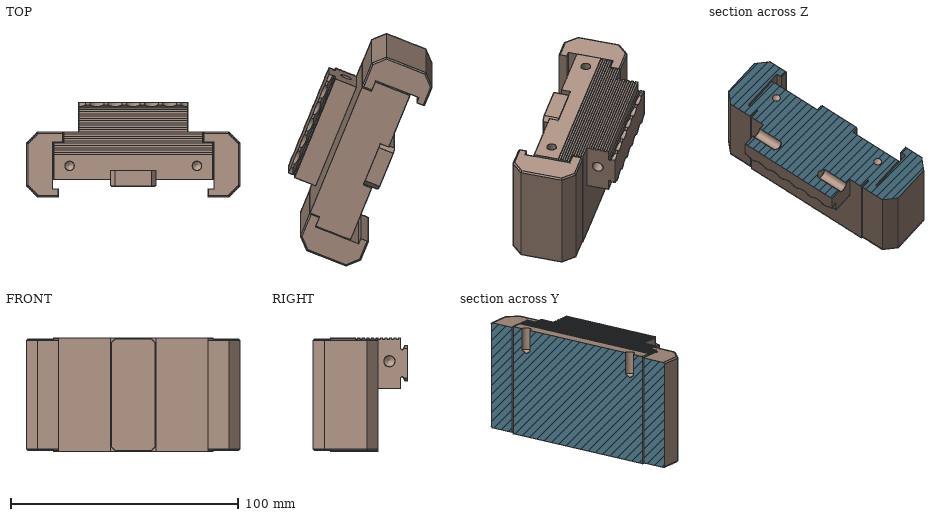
import cadquery as cq
import math

overall_width = 94
body_height = 50.0
top_z = body_height / 2

body_width = 70.0
body_depth = 21.0
shoulder_width = 61.0
shoulder_depth = 4.5

jaw_clearance = 0.5
jaw_height = body_height - 2 * jaw_clearance
jaw_depth = 28.7
jaw_corner = 5.0
jaw_bevel = 0.7
jaw_back_inner_x = shoulder_width / 2 + jaw_clearance
jaw_wall_inner_x = body_width / 2 + jaw_clearance
jaw_hook_inner_x = 33.0
jaw_hook_thickness = 3.7

pad_width = 20.0
pad_height = body_height - 2 * jaw_clearance
pad_back_y = -17.0
pad_front_y = -24.0
pad_corner = 2.0
pad_bevel = 0.5

grip_width = 48.0
grip_depth = 10.0
grip_height = 22.3
grip_mid_z = top_z - grip_height / 2

rail_depth = 3.0
rail_back_y = grip_depth + rail_depth
rail_half_height = 7.9
rail_tip_flat = 1.0
neck_width = 1.1
neck_groove_depth = 0.52
neck_half_height = 6.4
scallop_count = 7
scallop_pitch = grip_width / (scallop_count - 1)
scallop_radius = 4.0
scallop_floor = 6.5

serration_count = 10
serration_pitch = grip_depth / 5
serration_depth = 0.6

drill_point_angle = 118
top_hole_diameter = 4.1
top_hole_depth = 10.0
top_hole_x = 28.0
top_hole_y = -14.9
side_hole_diameter = 4.9
side_hole_depth = 12.0
side_hole_y = grip_depth / 2
side_hole_z = top_z - 10.2


def box(x_range, y_range, z_range):
    """Axis-aligned box given by its limits along each axis."""
    low, high = zip(x_range, y_range, z_range)
    size = [b - a for a, b in zip(low, high)]
    return cq.Workplane("XY").box(*size, centered=False).translate(low)


def centered_range(width):
    return (-width / 2, width / 2)


def drill(diameter, depth):
    """Drill-shaped cutter that enters at the origin and points along -Z."""
    radius = diameter / 2
    point_length = radius / math.tan(math.radians(drill_point_angle / 2))
    return (
        cq.Workplane("XZ")
        .polyline([(0, 0), (radius, 0), (radius, -depth), (0, -depth - point_length)])
        .close()
        .revolve(360, (0, 0, 0), (0, 1, 0))
    )


def make_body():
    full_height = centered_range(body_height)
    wide = box(centered_range(body_width), (-body_depth, -shoulder_depth), full_height)
    narrow = box(centered_range(shoulder_width), (-shoulder_depth, 0), full_height)
    channel = box(centered_range(pad_width), (-body_depth, pad_back_y), full_height)
    return wide.union(narrow).cut(channel)


def make_right_jaw():
    outer_x = overall_width / 2
    outer_outline = [
        (0, 0),
        (outer_x - jaw_corner, 0),
        (outer_x, -jaw_corner),
        (outer_x, jaw_corner - jaw_depth),
        (outer_x - jaw_corner, -jaw_depth),
        (0, -jaw_depth),
    ]
    jaw = (
        cq.Workplane("XY")
        .polyline(outer_outline)
        .close()
        .extrude(jaw_height)
        .translate((0, 0, -jaw_height / 2))
        .faces("|Z")
        .edges("not <X")
        .chamfer(jaw_bevel)
    )
    jaw_z = centered_range(jaw_height)
    hook_y = jaw_hook_thickness - jaw_depth
    jaw = jaw.cut(box((0, jaw_back_inner_x), (-shoulder_depth, 0), jaw_z))
    jaw = jaw.cut(box((0, jaw_wall_inner_x), (hook_y, -shoulder_depth), jaw_z))
    return jaw.cut(box((0, jaw_hook_inner_x), (-jaw_depth, hook_y), jaw_z))


def make_pad():
    pad = box(centered_range(pad_width), (pad_front_y, pad_back_y), centered_range(pad_height))
    pad = pad.faces("<Y").edges("|Z").chamfer(pad_bevel)
    corner_outline = (
        cq.Workplane("XZ", origin=(0, pad_back_y, 0))
        .rect(pad_width, pad_height)
        .extrude(pad_back_y - pad_front_y)
        .edges("|Y")
        .chamfer(pad_corner)
    )
    return pad.intersect(corner_outline)


def make_rail():
    neck_end_y = grip_depth + neck_width
    tip_y = rail_back_y - rail_tip_flat
    neck_floor = neck_half_height - neck_groove_depth
    upper_half = [
        (grip_depth, neck_half_height),
        (grip_depth + neck_groove_depth, neck_floor),
        (neck_end_y - neck_groove_depth, neck_floor),
        (neck_end_y, neck_half_height),
        (tip_y, rail_half_height),
        (rail_back_y, rail_half_height),
    ]
    lower_half = [(y, -z) for y, z in reversed(upper_half)]
    rail = (
        cq.Workplane("YZ", origin=(-grip_width / 2, 0, 0))
        .polyline(upper_half + lower_half)
        .close()
        .extrude(grip_width)
    )
    scallop = cq.Workplane("XZ").circle(scallop_radius).extrude(rail_depth)
    scallop_z = scallop_floor + scallop_radius
    for i in range(scallop_count):
        x = -grip_width / 2 + i * scallop_pitch
        for side in (-1, 1):
            rail = rail.cut(scallop.translate((x, rail_back_y, side * scallop_z)))
    return rail.translate((0, 0, grip_mid_z))


def make_grip():
    block = box(centered_range(grip_width), (0, grip_depth), (top_z - grip_height, top_z))
    return block.union(make_rail())


def make_serrations():
    """Grooves half a pitch wide, starting half a pitch in from the back of the grip block."""
    groove_width = serration_pitch / 2
    grooves = cq.Workplane("XY")
    for i in range(serration_count):
        back_y = grip_depth - groove_width - i * serration_pitch
        groove = box(
            centered_range(body_width),
            (back_y - groove_width, back_y),
            (top_z - serration_depth, top_z),
        )
        grooves = grooves.add(groove)
    return grooves.combine()


def make_holes():
    holes = cq.Workplane("XY")
    for side in (-1, 1):
        top_hole = drill(top_hole_diameter, top_hole_depth)
        holes = holes.add(top_hole.translate((side * top_hole_x, top_hole_y, top_z)))
        side_hole = drill(side_hole_diameter, side_hole_depth)
        side_hole = side_hole.rotate((0, 0, 0), (0, 1, 0), side * 90)
        holes = holes.add(side_hole.translate((side * grip_width / 2, side_hole_y, side_hole_z)))
    return holes.combine()


core = make_body().union(make_grip()).cut(make_serrations()).cut(make_holes())
right_jaw = make_right_jaw()
left_jaw = right_jaw.mirror("YZ")
result = core.union(make_pad()).union(right_jaw).union(left_jaw)